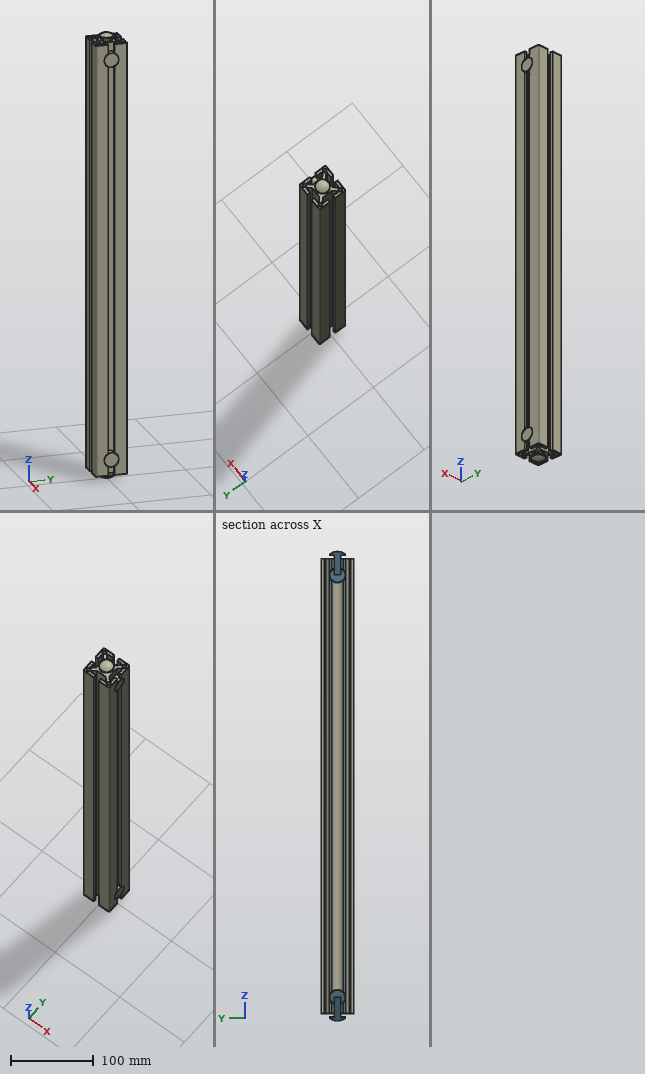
import cadquery as cq

OVERALL_LENGTH = 568.0

PROFILE_SIDE = 40.0
PROFILE_LENGTH = 550.0
OUTER_CORNER_RADIUS = 0.85
SLOT_OPENING = 8.0
LIP_THICKNESS = 4.0
SLOT_INNER_WIDTH = 22.0
SLOT_WALL_DEPTH = 1.5
SLOT_FLOOR_OFFSET = 10.0
CORE_HOLE_DIAMETER = 13.5
CORNER_HOLE_DIAMETER = 5.0
CORNER_HOLE_OFFSET = 15.5

PIN_DIAMETER = 18.0
PIN_END_DISTANCE = 20.0
PIN_INNER_END = -8.0

SHANK_DIAMETER = 8.0
HEAD_DIAMETER = 18.0
HEAD_RIM_HEIGHT = 1.5
NECK_FILLET_RADIUS = 0.5
DOME_HEIGHT = 3.5

HALF_SIDE = PROFILE_SIDE / 2
PROFILE_END = PROFILE_LENGTH / 2
SCREW_TIP = OVERALL_LENGTH / 2
DOME_BASE = SCREW_TIP - DOME_HEIGHT
HEAD_UNDERSIDE = DOME_BASE - HEAD_RIM_HEIGHT
PIN_HEIGHT = PROFILE_END - PIN_END_DISTANCE
END_SIDES = (1, -1)


def make_slot():
    """Cutter for the T-slot that opens towards +Y, running the whole length."""
    lip_inner = HALF_SIDE - LIP_THICKNESS
    wall_end = lip_inner - SLOT_WALL_DEPTH
    half_opening = SLOT_OPENING / 2
    half_inner = SLOT_INNER_WIDTH / 2
    half_floor = half_inner - (wall_end - SLOT_FLOOR_OFFSET)
    right_side = [
        (half_opening, HALF_SIDE),
        (half_opening, lip_inner),
        (half_inner, lip_inner),
        (half_inner, wall_end),
        (half_floor, SLOT_FLOOR_OFFSET),
    ]
    left_side = [(-x, y) for x, y in reversed(right_side)]
    return (
        cq.Workplane("XY", origin=(0, 0, -PROFILE_END))
        .polyline(right_side + left_side)
        .close()
        .extrude(PROFILE_LENGTH)
    )


def make_pin_blank(end):
    """Cylinder along X that fills the pin's seat, at the top (1) or bottom (-1) end."""
    return (
        cq.Workplane("YZ", origin=(PIN_INNER_END, 0, end * PIN_HEIGHT))
        .circle(PIN_DIAMETER / 2)
        .extrude(HALF_SIDE - PIN_INNER_END)
    )


def make_profile():
    """Square slotted profile with core and corner holes and a blind seat for each pin."""
    profile = cq.Workplane("XY").box(PROFILE_SIDE, PROFILE_SIDE, PROFILE_LENGTH)
    profile = profile.edges("|Z").fillet(OUTER_CORNER_RADIUS)
    for quarter_turn in range(4):
        profile = profile.cut(make_slot().rotate((0, 0, 0), (0, 0, 1), 90 * quarter_turn))
    profile = profile.faces(">Z").workplane().hole(CORE_HOLE_DIAMETER)
    profile = (
        profile.faces(">Z")
        .workplane()
        .rect(2 * CORNER_HOLE_OFFSET, 2 * CORNER_HOLE_OFFSET, forConstruction=True)
        .vertices()
        .hole(CORNER_HOLE_DIAMETER)
    )
    for end in END_SIDES:
        profile = profile.cut(make_pin_blank(end))
    return profile


def make_screw(end):
    """Domed screw whose shank ends on the pin's axis, at the top (1) or bottom (-1) end."""
    shank_radius = SHANK_DIAMETER / 2
    head_radius = HEAD_DIAMETER / 2
    dome_radius = (head_radius**2 + DOME_HEIGHT**2) / (2 * DOME_HEIGHT)
    dome_mid_x = head_radius / 2
    dome_mid_z = SCREW_TIP - dome_radius + (dome_radius**2 - dome_mid_x**2) ** 0.5
    top_screw = (
        cq.Workplane("XZ")
        .moveTo(0, PIN_HEIGHT)
        .lineTo(shank_radius, PIN_HEIGHT)
        .lineTo(shank_radius, HEAD_UNDERSIDE - NECK_FILLET_RADIUS)
        .radiusArc((shank_radius + NECK_FILLET_RADIUS, HEAD_UNDERSIDE), NECK_FILLET_RADIUS)
        .lineTo(head_radius, HEAD_UNDERSIDE)
        .lineTo(head_radius, DOME_BASE)
        .threePointArc((dome_mid_x, dome_mid_z), (0, SCREW_TIP))
        .close()
        .revolve(360, (0, 0, 0), (0, 1, 0))
    )
    return top_screw if end > 0 else top_screw.mirror("XY")


def make_pin(end):
    """Cross pin with the blind hole that takes the screw's shank."""
    return make_pin_blank(end).cut(make_screw(end))


profile = make_profile()
screws = [make_screw(end) for end in END_SIDES]
pins = [make_pin(end) for end in END_SIDES]

result = cq.Compound.makeCompound([body.val() for body in [profile, *screws, *pins]])